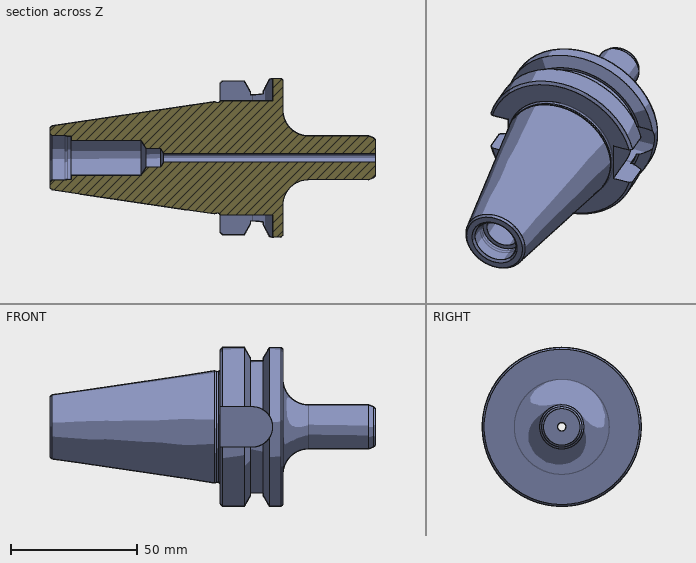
import cadquery as cq
import math

ARC_MIDPOINT = 1 - math.sqrt(0.5)

total_length = 128.9
gauge_x = 65.2
neck_start_x = 65.9
flange_start_x = 67.3
v_start_x = 77.0
v_floor_start_x = 79.4
v_floor_end_x = 84.4
flange_end_x = 92.3

small_end_radius = 12.8
gauge_radius = 22.3
neck_diameter = 44.0
neck_radius = neck_diameter / 2
flange_diameter = 63.0
flange_radius = flange_diameter / 2
v_floor_radius = 26.3
shank_radius = 8.8

taper_chamfer_length = 0.9
taper_chamfer_depth = 0.8
neck_fillet = 0.6
flange_chamfer = 1.0
flange_rear_chamfer = 0.8
blend_radius = 10.0
shank_lead_length = 1.9
shank_lead_depth = 0.8
shank_tip_chamfer = 0.8

flank_angle = math.radians(30)
flank_width = v_floor_start_x - v_start_x
flank_depth = flank_width / math.tan(flank_angle)
v_end_x = v_floor_end_x + flank_width

slot_width = 16.0
slot_end_x = 88.2
slot_floor_y = neck_radius + neck_fillet

mouth_radius = 9.7
counterbore_radius = 8.8
counterbore_taper_start = 5.9
counterbore_taper_end = 7.0
counterbore_floor_radius = 8.5
counterbore_depth = 8.4
thread_radius = 6.8
thread_depth = 36.1
pilot_radius = 3.6
pilot_depth = 43.8
coolant_diameter = 3.2
coolant_radius = coolant_diameter / 2
drill_half_angle = math.radians(59)


def cone_length(large_radius, small_radius):
    """Axial length of a drill-point cone between two radii."""
    return (large_radius - small_radius) / math.tan(drill_half_angle)


def make_body():
    """Revolve the taper, grooved flange and shank about the X axis."""
    tip_chamfer_x = total_length - shank_tip_chamfer
    tip_radius = shank_radius - shank_lead_depth
    flank_foot_radius = flange_radius - flank_depth
    blend_start_radius = shank_radius + blend_radius
    blend_end_x = flange_end_x + blend_radius
    blend_offset = blend_radius * ARC_MIDPOINT
    neck_fillet_offset = neck_fillet * ARC_MIDPOINT
    return (
        cq.Workplane("XY")
        .moveTo(0, 0)
        .lineTo(0, small_end_radius - taper_chamfer_depth)
        .lineTo(taper_chamfer_length, small_end_radius)
        .lineTo(gauge_x, gauge_radius)
        .lineTo(neck_start_x, neck_radius)
        .lineTo(flange_start_x - neck_fillet, neck_radius)
        .threePointArc(
            (flange_start_x - neck_fillet_offset, neck_radius + neck_fillet_offset),
            (flange_start_x, neck_radius + neck_fillet),
        )
        .lineTo(flange_start_x, flange_radius - flange_chamfer)
        .lineTo(flange_start_x + flange_chamfer, flange_radius)
        .lineTo(v_start_x, flange_radius)
        .lineTo(v_floor_start_x, flank_foot_radius)
        .lineTo(v_floor_start_x, v_floor_radius)
        .lineTo(v_floor_end_x, v_floor_radius)
        .lineTo(v_floor_end_x, flank_foot_radius)
        .lineTo(v_end_x, flange_radius)
        .lineTo(flange_end_x - flange_rear_chamfer, flange_radius)
        .lineTo(flange_end_x, flange_radius - flange_rear_chamfer)
        .lineTo(flange_end_x, blend_start_radius)
        .threePointArc(
            (flange_end_x + blend_offset, shank_radius + blend_offset),
            (blend_end_x, shank_radius),
        )
        .lineTo(tip_chamfer_x - shank_lead_length, shank_radius)
        .lineTo(tip_chamfer_x, tip_radius)
        .lineTo(total_length, tip_radius - shank_tip_chamfer)
        .lineTo(total_length, 0)
        .close()
        .revolve(360, (0, 0, 0), (1, 0, 0))
    )


def make_bore():
    """Stepped bore with drill-point cones, running right through the shank."""
    mouth_chamfer = mouth_radius - counterbore_radius
    thread_tip_x = thread_depth + cone_length(thread_radius, pilot_radius)
    pilot_tip_x = pilot_depth + cone_length(pilot_radius, coolant_radius)
    return (
        cq.Workplane("XY")
        .moveTo(0, 0)
        .lineTo(0, mouth_radius)
        .lineTo(mouth_chamfer, counterbore_radius)
        .lineTo(counterbore_taper_start, counterbore_radius)
        .lineTo(counterbore_taper_end, counterbore_floor_radius)
        .lineTo(counterbore_depth, counterbore_floor_radius)
        .lineTo(counterbore_depth, thread_radius)
        .lineTo(thread_depth, thread_radius)
        .lineTo(thread_tip_x, pilot_radius)
        .lineTo(pilot_depth, pilot_radius)
        .lineTo(pilot_tip_x, coolant_radius)
        .lineTo(total_length, coolant_radius)
        .lineTo(total_length, 0)
        .close()
        .revolve(360, (0, 0, 0), (1, 0, 0))
    )


def make_drive_slot(side):
    """Round-ended slot cutter on the +Y (side=1) or -Y (side=-1) flank."""
    half_width = slot_width / 2
    round_center_x = slot_end_x - half_width
    return (
        cq.Workplane("XZ", origin=(0, side * slot_floor_y, 0))
        .moveTo(flange_start_x, -half_width)
        .lineTo(round_center_x, -half_width)
        .threePointArc((slot_end_x, 0), (round_center_x, half_width))
        .lineTo(flange_start_x, half_width)
        .close()
        .extrude(-side * flange_radius)
    )


result = make_body().cut(make_bore())
for side in (-1, 1):
    result = result.cut(make_drive_slot(side))